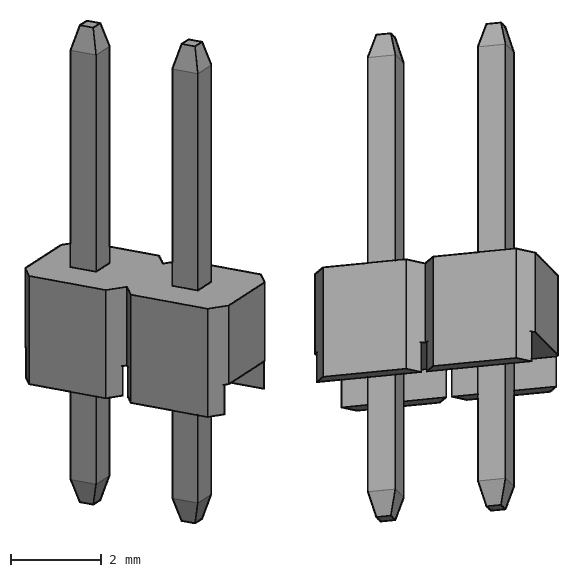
import cadquery as cq

pin_count = 2
pitch = 2.54
housing_length = pin_count * pitch
housing_depth = 2.5
housing_height = 2.54
chamfer_x = 0.31
chamfer_y = 0.4

leg_height = 0.7
leg_thickness = 0.32
channel_width = housing_depth - 2 * leg_thickness

total_height = 11.2
pin_width = 0.64
tip_width = 0.34
tip_length = 0.56
pin_below_housing = 3.0
pin_offset_x = -0.1


def cell_center(index):
    """X position of a cell's centre, with the row centred on the origin."""
    return (index - (pin_count - 1) / 2) * pitch


def make_cell(center_x):
    """Housing cell with its four vertical corners cut off, standing on Z = 0."""
    half_x = pitch / 2
    half_y = housing_depth / 2
    flat_x = half_x - chamfer_x
    flat_y = half_y - chamfer_y
    outline = [
        (-flat_x, -half_y),
        (flat_x, -half_y),
        (half_x, -flat_y),
        (half_x, flat_y),
        (flat_x, half_y),
        (-flat_x, half_y),
        (-half_x, flat_y),
        (-half_x, -flat_y),
    ]
    cell = cq.Workplane("XY").polyline(outline).close().extrude(housing_height)
    return cell.translate((center_x, 0, 0))


def make_tip(base_z, end_z):
    """Tapered pin end from the full section at base_z to the small face at end_z."""
    return (
        cq.Workplane("XY", origin=(0, 0, base_z))
        .rect(pin_width, pin_width)
        .workplane(offset=end_z - base_z)
        .rect(tip_width, tip_width)
        .loft(ruled=True)
    )


def make_pin(center_x):
    """Full-length pin passing through the housing."""
    bottom = -pin_below_housing
    top = bottom + total_height
    shank_bottom = bottom + tip_length
    shank_top = top - tip_length
    shank = (
        cq.Workplane("XY", origin=(0, 0, shank_bottom))
        .rect(pin_width, pin_width)
        .extrude(shank_top - shank_bottom)
    )
    pin = shank.union(make_tip(shank_bottom, bottom)).union(make_tip(shank_top, top))
    return pin.translate((center_x, 0, 0))


housing = make_cell(cell_center(0))
for i in range(1, pin_count):
    housing = housing.union(make_cell(cell_center(i)))
channel = cq.Workplane("XY").rect(housing_length, channel_width).extrude(leg_height)
housing = housing.cut(channel)

result = housing
for i in range(pin_count):
    result = result.union(make_pin(cell_center(i) + pin_offset_x))